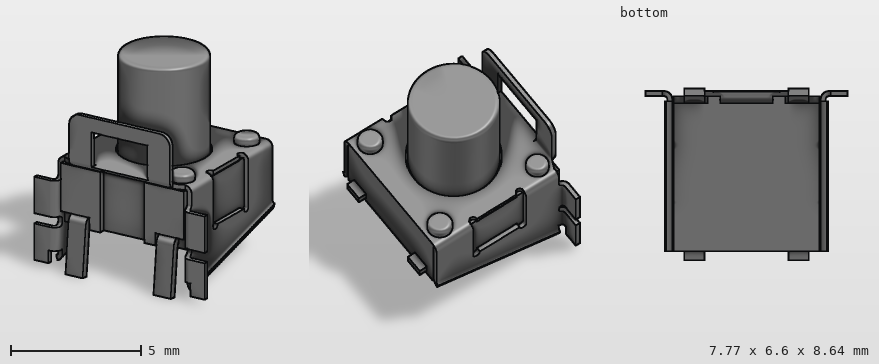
import cadquery as cq
import math


DIAGONAL = math.sqrt(0.5)

overall_width = 7.77
overall_height = 8.64
back_limit = 3.32
front_limit = back_limit - 6.6

sheet = 0.2
bend_inner = 0.1
front_bend_inner = 0.13
bend_outer = bend_inner + sheet
front_bend_outer = front_bend_inner + sheet

body_half_width = 2.8
body_half_depth = 2.98
body_height = 2.5
recess_half_width = 1.01
recess_depth = 0.28
terminal_notch_inner_x = 1.495

cover_top = body_height + sheet
wall_inner_x = 2.84
wall_outer_x = wall_inner_x + sheet
wall_front_y = -2.79
front_face_y = -body_half_depth
front_bend_y = front_face_y + front_bend_inner
plate_hole_diameter = 3.7

slant_angle = 15
wall_bottom_back_z = 0.24
lip_inner_radius = 0.15
lip_bend_angle = math.radians(70)

window_half_depth = 1.25
window_bottom_z = 0.54
ear_bottom_z = 0.38
ear_radius = 0.155
plate_notch_x = 2.82

loop_half_width = 2.3
loop_top_z = 4.74
loop_corner_radius = 0.48
loop_window_half_width = 1.28
loop_window_top_z = 4.14
flare_half_width = 2.74

tab_height = 1.5
upper_tab_bottom_z = 0.26
lower_tab_bottom_z = -1.67
tab_notch_x = 3.23
tab_notch_top_z = -1.14

button_diameter = 3.55
button_rise = 4.0
button_fillet = 0.2
button_top = cover_top + button_rise
rivet_offset = 2.3
rivet_diameter = 0.985
small_rivet_diameter = 0.9
rivet_rise = 0.35
rivet_fillet = 0.2

terminal_x = 2.005
terminal_width = 0.79
terminal_thickness = 0.29
terminal_top_z = 0.51
terminal_tip_z = button_top - overall_height
terminal_inner_radius = 0.1
terminal_tilt = math.radians(6)
terminal_embed = 0.52


def block(x_range, y_range, z_range):
    """Box given by its lower and upper limit along each axis."""
    limits = (x_range, y_range, z_range)
    size = [high - low for low, high in limits]
    corner = [low for low, high in limits]
    return cq.Workplane("XY").box(*size, centered=False).translate(tuple(corner))


def both_sides(shape):
    """The +X shape together with its mirror image."""
    return shape.union(shape.mirror("YZ"))


def around(center, radius, angle):
    """Point on a circle."""
    return (center[0] + radius * math.cos(angle), center[1] + radius * math.sin(angle))


def make_body():
    front_depth = (front_face_y, front_face_y + recess_depth)
    body = block(
        (-body_half_width, body_half_width),
        (-body_half_depth, body_half_depth),
        (0, body_height),
    )
    recess = block((-recess_half_width, recess_half_width), front_depth, (0, body_height))
    notch = block((terminal_notch_inner_x, body_half_width), front_depth, (0, terminal_top_z))
    return body.cut(recess).cut(both_sides(notch))


def make_cover_shell():
    """Top plate and two side walls, cut along the slant at the bottom."""
    slant_drop = math.tan(math.radians(slant_angle)) * (body_half_depth - wall_front_y)
    wall_bottom_front_z = wall_bottom_back_z - slant_drop
    side_outline = (
        cq.Workplane("YZ")
        .moveTo(body_half_depth, cover_top)
        .lineTo(wall_front_y, cover_top)
        .lineTo(wall_front_y, wall_bottom_front_z)
        .lineTo(body_half_depth, wall_bottom_back_z)
        .close()
        .extrude(wall_outer_x, both=True)
    )
    rounded = side_outline.edges("|Y and >Z").fillet(bend_outer)
    lowest = wall_bottom_front_z - sheet
    inside = block(
        (-wall_inner_x, wall_inner_x), (-body_half_depth, body_half_depth), (lowest, body_height)
    )
    shell = rounded.cut(inside.edges("|Y and >Z").fillet(bend_inner))
    square_plate = block(
        (-wall_inner_x, wall_inner_x), (-window_half_depth, window_half_depth), (body_height, cover_top)
    )
    return shell.union(square_plate)


def make_lip():
    """Lip bent outward along the slanted lower edge of the +X wall."""
    slant = math.radians(slant_angle)
    outer_radius = lip_inner_radius + sheet
    edge_plane = cq.Plane(
        origin=(wall_outer_x + lip_inner_radius, body_half_depth, wall_bottom_back_z),
        xDir=(1, 0, 0),
        normal=(0, math.cos(slant), math.sin(slant)),
    )
    center = (0, 0)
    middle = math.pi - lip_bend_angle / 2
    end = math.pi - lip_bend_angle
    lip = (
        cq.Workplane(edge_plane)
        .moveTo(-outer_radius, 0)
        .threePointArc(around(center, outer_radius, middle), around(center, outer_radius, end))
        .lineTo(*around(center, lip_inner_radius, end))
        .threePointArc(around(center, lip_inner_radius, middle), (-lip_inner_radius, 0))
        .close()
        .extrude(overall_height, both=True)
    )
    wall_span = block(
        (0, overall_width), (wall_front_y, body_half_depth), (-overall_height, overall_height)
    )
    return lip.intersect(wall_span)


def make_side_window():
    """Cutter for the opening in the +X wall and its round corner reliefs."""
    beyond_x = wall_outer_x + sheet
    window = block(
        (wall_inner_x, beyond_x), (-window_half_depth, window_half_depth), (window_bottom_z, cover_top)
    )
    bend_relief = block(
        (body_half_width, wall_inner_x),
        (-window_half_depth, window_half_depth),
        (window_bottom_z, body_height),
    )
    window = window.union(bend_relief)
    for side in (-1, 1):
        ear_y = side * (window_half_depth - ear_radius)
        ear_center_z = ear_bottom_z + ear_radius
        ear_span = (ear_y - ear_radius, ear_y + ear_radius)
        wall_ear = (
            cq.Workplane("YZ", origin=(wall_inner_x, ear_y, ear_center_z))
            .circle(ear_radius)
            .extrude(beyond_x - wall_inner_x)
        )
        ear_sides = block((wall_inner_x, beyond_x), ear_span, (ear_center_z, cover_top))
        plate_ear = (
            cq.Workplane("XY", origin=(plate_notch_x, ear_y, body_height))
            .circle(ear_radius)
            .extrude(sheet)
        )
        plate_ear_mouth = block((plate_notch_x, beyond_x), ear_span, (body_height, cover_top))
        for cutter in (wall_ear, ear_sides, plate_ear, plate_ear_mouth):
            window = window.union(cutter)
    return window


def make_loop():
    """Upright loop bent up from the front edge of the top plate."""
    bend_center = (front_bend_y, cover_top + front_bend_inner)
    bend_middle = math.radians(225)
    sheet_profile = (
        cq.Workplane("YZ")
        .moveTo(wall_front_y, body_height)
        .lineTo(front_bend_y, body_height)
        .threePointArc(
            around(bend_center, front_bend_outer, bend_middle), (front_face_y - sheet, bend_center[1])
        )
        .lineTo(front_face_y - sheet, loop_top_z)
        .lineTo(front_face_y, loop_top_z)
        .lineTo(front_face_y, bend_center[1])
        .threePointArc(around(bend_center, front_bend_inner, bend_middle), (front_bend_y, cover_top))
        .lineTo(wall_front_y, cover_top)
        .close()
    )
    bent_sheet = sheet_profile.extrude(wall_outer_x, both=True)
    depth_span = (front_face_y - sheet, wall_front_y)
    outline = block(
        (-loop_half_width, loop_half_width), depth_span, (body_height, loop_top_z)
    ).edges("|Y and >Z").fillet(loop_corner_radius)
    opening = block(
        (-loop_window_half_width, loop_window_half_width), depth_span, (cover_top, loop_window_top_z)
    )
    flare = (
        cq.Workplane("XY", origin=(0, 0, body_height))
        .polyline([
            (-flare_half_width, wall_front_y),
            (-loop_half_width, front_face_y),
            (loop_half_width, front_face_y),
            (flare_half_width, wall_front_y),
        ])
        .close()
        .extrude(loop_top_z - body_height)
    )
    return bent_sheet.intersect(outline.union(flare)).cut(opening)


def make_solder_tab(bottom_z):
    """Solder tab bent outward from the front edge of the +X wall, flaring into the wall."""
    bend_center = (wall_outer_x + front_bend_inner, front_bend_y)
    bend_middle = math.radians(225)
    tab_outer_x = overall_width / 2
    tab_front_y = front_face_y - sheet
    top_z = bottom_z + tab_height
    flare = wall_front_y - front_face_y
    bent_sheet = (
        cq.Workplane("XY", origin=(0, 0, bottom_z - flare))
        .moveTo(wall_inner_x, wall_front_y)
        .lineTo(wall_inner_x, front_bend_y)
        .threePointArc(around(bend_center, front_bend_outer, bend_middle), (bend_center[0], tab_front_y))
        .lineTo(tab_outer_x, tab_front_y)
        .lineTo(tab_outer_x, front_face_y)
        .lineTo(bend_center[0], front_face_y)
        .threePointArc(around(bend_center, front_bend_inner, bend_middle), (wall_outer_x, front_bend_y))
        .lineTo(wall_outer_x, wall_front_y)
        .close()
        .extrude(tab_height + 2 * flare)
    )
    arc_middle_y = front_face_y + flare * DIAGONAL
    arc_middle_rise = flare * (1 - DIAGONAL)
    side_outline = (
        cq.Workplane("YZ")
        .moveTo(wall_front_y, top_z + flare)
        .threePointArc((arc_middle_y, top_z + arc_middle_rise), (front_face_y, top_z))
        .lineTo(tab_front_y, top_z)
        .lineTo(tab_front_y, bottom_z)
        .lineTo(front_face_y, bottom_z)
        .threePointArc((arc_middle_y, bottom_z - arc_middle_rise), (wall_front_y, bottom_z - flare))
        .close()
        .extrude(tab_outer_x)
    )
    return bent_sheet.intersect(side_outline)


def make_solder_tabs():
    """Upper and lower tab on the +X side; the lower one is cut back beside the wall."""
    upper_tab = make_solder_tab(upper_tab_bottom_z)
    lower_tab = make_solder_tab(lower_tab_bottom_z)
    tab_notch = block(
        (0, tab_notch_x), (front_limit, wall_front_y), (-overall_height, tab_notch_top_z)
    )
    return upper_tab.union(lower_tab.cut(tab_notch))


def make_cover():
    cover = make_cover_shell().union(both_sides(make_lip()))
    cover = cover.cut(both_sides(make_side_window()))
    cover = cover.union(both_sides(make_solder_tabs())).union(make_loop())
    plate_hole = (
        cq.Workplane("XY", origin=(0, 0, body_height)).circle(plate_hole_diameter / 2).extrude(sheet)
    )
    return cover.cut(plate_hole)


def make_stud(x, y, diameter, top_z, fillet):
    """Cylinder standing on the body with a rounded top edge."""
    stud = cq.Workplane("XY", origin=(x, y, body_height)).circle(diameter / 2)
    return stud.extrude(top_z - body_height).faces(">Z").edges().fillet(fillet)


def make_rivets():
    rivets = cq.Workplane("XY")
    for x_side in (-1, 1):
        for y_side in (-1, 1):
            is_front_left = x_side < 0 and y_side < 0
            diameter = small_rivet_diameter if is_front_left else rivet_diameter
            rivets = rivets.add(make_stud(
                x_side * rivet_offset, y_side * rivet_offset,
                diameter, cover_top + rivet_rise, rivet_fillet,
            ))
    return rivets.combine()


def make_front_terminal():
    """Terminal that leaves the front notch and bends down, leaning slightly forward."""
    inner_radius = terminal_inner_radius
    outer_radius = inner_radius + terminal_thickness
    sin_tilt, cos_tilt = math.sin(terminal_tilt), math.cos(terminal_tilt)
    center_z = terminal_top_z - outer_radius
    leg_length = (center_z + inner_radius * sin_tilt - terminal_tip_z) / cos_tilt
    center_y = front_limit + outer_radius * cos_tilt + leg_length * sin_tilt
    center = (center_y, center_z)
    bend_start = math.pi / 2
    bend_end = math.pi - terminal_tilt
    bend_middle = (bend_start + bend_end) / 2

    def tip(radius):
        y, z = around(center, radius, bend_end)
        return (y - leg_length * sin_tilt, z - leg_length * cos_tilt)

    root_y = front_face_y + terminal_embed
    return (
        cq.Workplane("YZ", origin=(terminal_x, 0, 0))
        .moveTo(root_y, terminal_top_z)
        .lineTo(center_y, terminal_top_z)
        .threePointArc(
            around(center, outer_radius, bend_middle), around(center, outer_radius, bend_end)
        )
        .lineTo(*tip(outer_radius))
        .lineTo(*tip(inner_radius))
        .lineTo(*around(center, inner_radius, bend_end))
        .threePointArc(
            around(center, inner_radius, bend_middle), around(center, inner_radius, bend_start)
        )
        .lineTo(root_y, terminal_top_z - terminal_thickness)
        .close()
        .extrude(terminal_width / 2, both=True)
    )


def make_back_terminal():
    """Straight terminal stub at the back."""
    return block(
        (terminal_x - terminal_width / 2, terminal_x + terminal_width / 2),
        (body_half_depth - terminal_embed, back_limit),
        (terminal_top_z - terminal_thickness, terminal_top_z),
    )


result = (
    make_body()
    .union(make_cover())
    .union(make_stud(0, 0, button_diameter, button_top, button_fillet))
    .union(make_rivets())
    .union(both_sides(make_front_terminal()))
    .union(both_sides(make_back_terminal()))
)